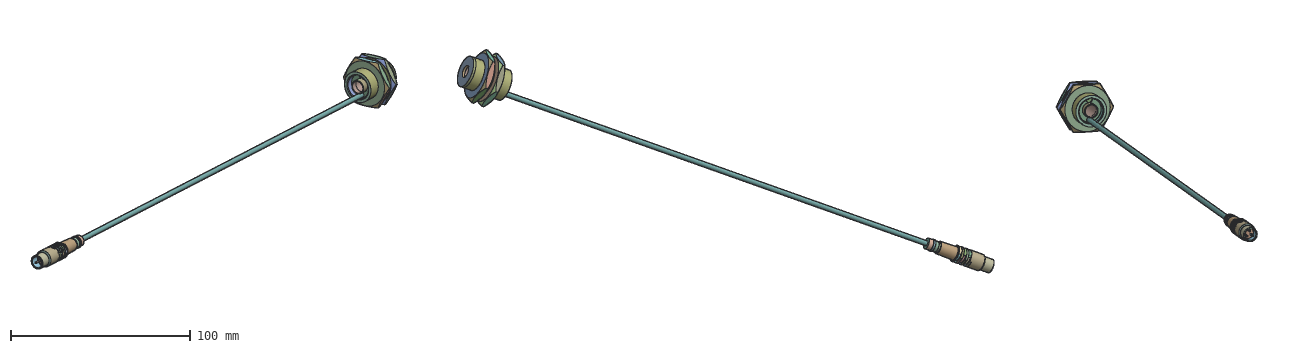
import cadquery as cq
import math


barrel_radius = 9.0
barrel_length = 25.0
cap_thickness = 1.5
bore_radius = 3.5
recess_radius = 6.9
recess_depth = 4.0
recess_chamfer = 0.5
bore_tube_radius = 4.0

nut_across_flats = 27.0
nut_thickness = 4.0
nut_count = 2
nut_gap = 2.5
nut_chamfer_angle = 30.0
nut_face_radius = 13.2

cable_radius = 1.5
cable_offset = 5.75
cable_barrel_depth = 6.0

indicator_radius = 1.8
indicator_depth = 1.0

total_length = 341.03
tip_y = barrel_length - total_length
nose_length = 5.9
nose_radius = 4.0
socket_radius = 3.2
socket_depth = 5.0
collar_radius = 4.85
collar_chamfer = 0.7
grip_start = 13.9
grip_end = 23.5
grip_half_height = 4.2
grip_groove_count = 3
grip_groove_width = 1.8
grip_groove_pitch = 3.1
grip_first_groove = 15.9
grip_groove_radius = 3.65
grip_rail_inset = 0.9
grip_side_radius = 4.75
sleeve_end = 34.0
sleeve_end_radius = 3.7
neck_radius = 2.9
neck_length = 1.2
strain_front_ring_width = 2.2
strain_rib_width = 1.4
strain_rear_ring_width = 2.8
strain_ring_radius = 3.2
strain_rib_radius = 3.5
cable_plug_depth = 10.0
neck_end = sleeve_end + neck_length
front_ring_end = neck_end + strain_front_ring_width
rib_end = front_ring_end + strain_rib_width
plug_end = rib_end + strain_rear_ring_width
cable_tip = plug_end - cable_plug_depth

pin_count = 3
first_pin_angle = math.pi / 2
pin_radius = 0.5
pin_circle_radius = 1.9
pin_seat_depth = 3.0
pin_recess = 1.0


def cylinder(radius, y_start, y_end, x=0.0, z=0.0):
    """Cylinder along Y between two positions."""
    start = cq.Vector(x, y_start, z)
    along_y = cq.Vector(0, 1, 0)
    return cq.Workplane(cq.Solid.makeCylinder(radius, y_end - y_start, start, along_y))


def slab(width, y_start, y_end, height):
    """Box centred on the Y axis, between two positions along it."""
    box = cq.Workplane("XY").box(width, y_end - y_start, height)
    return box.translate((0, (y_start + y_end) / 2, 0))


def build_barrel():
    """Bored barrel whose cable end is a cup around a thin bore tube."""
    barrel = cylinder(barrel_radius, 0, barrel_length - cap_thickness)
    recess = cylinder(recess_radius, 0, recess_depth)
    barrel = barrel.cut(recess)
    barrel = barrel.faces("<Y").edges(cq.selectors.RadiusNthSelector(0)).chamfer(recess_chamfer)
    barrel = barrel.union(cylinder(bore_tube_radius, 0, recess_depth))
    barrel = barrel.cut(cylinder(indicator_radius, 0, recess_depth + indicator_depth, z=cable_offset))
    barrel = barrel.cut(cylinder(cable_radius, 0, cable_barrel_depth, z=-cable_offset))
    return barrel.cut(cylinder(bore_radius, 0, barrel_length))


def build_cap():
    """Bored disc closing the far end of the barrel."""
    cap_start = barrel_length - cap_thickness
    cap = cylinder(barrel_radius, cap_start, barrel_length)
    return cap.cut(cylinder(bore_radius, cap_start, barrel_length))


def build_nut(y_start):
    """Hexagon nut with a corner at +X and -X, chamfered on both faces."""
    corner_radius = nut_across_flats / 2 / math.cos(math.pi / 6)
    chamfer_height = (corner_radius - nut_face_radius) * math.tan(math.radians(nut_chamfer_angle))
    hexagon = (
        cq.Workplane("XZ", origin=(0, y_start, 0))
        .polygon(6, 2 * corner_radius)
        .circle(barrel_radius)
        .extrude(-nut_thickness)
    )
    envelope = (
        cq.Workplane("XY")
        .moveTo(0, y_start)
        .lineTo(nut_face_radius, y_start)
        .lineTo(corner_radius, y_start + chamfer_height)
        .lineTo(corner_radius, y_start + nut_thickness - chamfer_height)
        .lineTo(nut_face_radius, y_start + nut_thickness)
        .lineTo(0, y_start + nut_thickness)
        .close()
        .revolve(360, (0, 0, 0), (0, 1, 0))
    )
    return hexagon.intersect(envelope)


def build_grip():
    """Flattened round grip with cross grooves, deep above and below and shallow on the side rails."""
    grip = cylinder(collar_radius, grip_start, grip_end)
    grip = grip.intersect(slab(2 * collar_radius, grip_start, grip_end, 2 * grip_half_height))
    rail_gap = 2 * (collar_radius - grip_rail_inset)
    for i in range(grip_groove_count):
        start = grip_first_groove + i * grip_groove_pitch - grip_groove_width / 2
        end = start + grip_groove_width
        deep_groove = slab(rail_gap, start, end, 2 * collar_radius)
        deep_groove = deep_groove.cut(cylinder(grip_groove_radius, start, end))
        side_groove = cylinder(collar_radius, start, end).cut(cylinder(grip_side_radius, start, end))
        grip = grip.cut(deep_groove).cut(side_groove)
    return grip


def build_plug(pins):
    """Plug built with its tip at Y = 0, moved onto the cable axis, with a seat cut for each pin."""
    turned = (
        cq.Workplane("XY")
        .moveTo(0, 0)
        .lineTo(nose_radius, 0)
        .lineTo(nose_radius, nose_length)
        .lineTo(collar_radius - collar_chamfer, nose_length)
        .lineTo(collar_radius, nose_length + collar_chamfer)
        .lineTo(collar_radius, grip_start)
        .lineTo(grip_groove_radius, grip_start)
        .lineTo(grip_groove_radius, grip_end)
        .lineTo(nose_radius, grip_end)
        .lineTo(sleeve_end_radius, sleeve_end)
        .lineTo(neck_radius, sleeve_end)
        .lineTo(neck_radius, neck_end)
        .lineTo(strain_ring_radius, neck_end)
        .lineTo(strain_ring_radius, front_ring_end)
        .lineTo(strain_rib_radius, front_ring_end)
        .lineTo(strain_rib_radius, rib_end)
        .lineTo(strain_ring_radius, rib_end)
        .lineTo(strain_ring_radius, plug_end)
        .lineTo(0, plug_end)
        .close()
        .revolve(360, (0, 0, 0), (0, 1, 0))
    )
    plug = turned.union(build_grip())
    plug = plug.cut(cylinder(socket_radius, 0, socket_depth))
    plug = plug.cut(cylinder(cable_radius, cable_tip, plug_end))
    plug = plug.translate((0, tip_y, -cable_offset))
    for pin in pins:
        plug = plug.cut(pin)
    return plug


def build_pin(angle):
    """Contact pin set back from the plug tip, at an angle around the cable axis."""
    x = pin_circle_radius * math.cos(angle)
    z = pin_circle_radius * math.sin(angle) - cable_offset
    return cylinder(pin_radius, tip_y + pin_recess, tip_y + socket_depth + pin_seat_depth, x, z)


barrel = build_barrel()
cap = build_cap()

nut_pitch = nut_thickness + nut_gap
first_nut_y = (barrel_length - nut_count * nut_pitch + nut_gap) / 2
nuts = [build_nut(first_nut_y + i * nut_pitch) for i in range(nut_count)]

pin_spacing = 2 * math.pi / pin_count
pins = [build_pin(first_pin_angle + i * pin_spacing) for i in range(pin_count)]
plug = build_plug(pins)
cable = cylinder(cable_radius, tip_y + cable_tip, cable_barrel_depth, z=-cable_offset)

bodies = [barrel, cap, cable, plug, *nuts, *pins]
result = cq.Compound.makeCompound([body.val() for body in bodies])